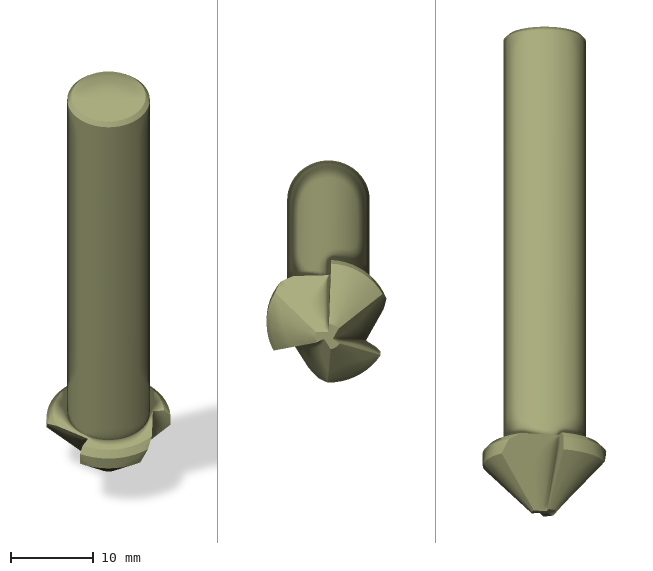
import cadquery as cq
import math

total_length = 60.0

shank_radius = 5.0
shank_end_chamfer = 0.5
core_radius = 1.3

head_radius = 7.5
tip_radius = 1.6
cone_half_angle = 45.0
rim_height = 1.6
rim_chamfer = 0.75
cone_height = (head_radius - tip_radius) / math.tan(math.radians(cone_half_angle))
chamfer_start = cone_height + rim_height
head_height = chamfer_start + rim_chamfer

flute_count = 3
floor_distance_at_tip = 0.6
floor_angle = 30.0
wall_angle = 4.0
flute_corner_radius = 0.2
flute_reach = 2 * head_radius
flute_overrun = 1.0


def floor_distance(height):
    """Distance of the flute floor from the axis at the given height."""
    return floor_distance_at_tip + height * math.tan(math.radians(floor_angle))


def make_flute_cutter():
    """Cutter for the flute on the -X side, with its wall to -Y."""
    bottom = -flute_overrun
    top = head_height + flute_overrun
    wall_slope = math.tan(math.radians(wall_angle))
    above_floor = (
        cq.Workplane("XZ")
        .polyline([
            (-floor_distance(bottom), bottom),
            (-floor_distance(top), top),
            (-flute_reach, top),
            (-flute_reach, bottom),
        ])
        .close()
        .extrude(flute_reach, both=True)
    )
    beside_wall = (
        cq.Workplane("XY", origin=(0, 0, bottom))
        .polyline([
            (0, 0),
            (-flute_reach, -flute_reach * wall_slope),
            (-flute_reach, flute_reach),
            (0, flute_reach),
        ])
        .close()
        .extrude(top - bottom)
    )
    middle = (bottom + top) / 2
    corner_distance = floor_distance(middle)
    corner_point = (-corner_distance, -corner_distance * wall_slope, middle)
    corner = cq.selectors.NearestToPointSelector(corner_point)
    return above_floor.intersect(beside_wall).edges(corner).fillet(flute_corner_radius)


def cut_flutes(body):
    """Cut the evenly spaced flutes into a body."""
    cutter = make_flute_cutter()
    for index in range(flute_count):
        turn = index * 360 / flute_count
        body = body.cut(cutter.rotate((0, 0, 0), (0, 0, 1), turn))
    return body


def make_shank():
    """Plain shank with a thin core that runs through the head to the tip face."""
    shank = (
        cq.Workplane("XY", origin=(0, 0, head_height))
        .circle(shank_radius)
        .extrude(total_length - head_height)
        .faces(">Z")
        .chamfer(shank_end_chamfer)
    )
    core = cq.Workplane("XY").circle(core_radius).extrude(head_height)
    return shank.union(cut_flutes(core))


def make_head():
    """Fluted cutting head with a through bore for the core."""
    blank = (
        cq.Workplane("XZ")
        .polyline([
            (core_radius, 0),
            (tip_radius, 0),
            (head_radius, cone_height),
            (head_radius, chamfer_start),
            (head_radius - rim_chamfer, head_height),
            (core_radius, head_height),
        ])
        .close()
        .revolve(360, (0, 0, 0), (0, 1, 0))
    )
    return cut_flutes(blank)


shank = make_shank()
head = make_head()
result = cq.Compound.makeCompound([shank.val(), head.val()])